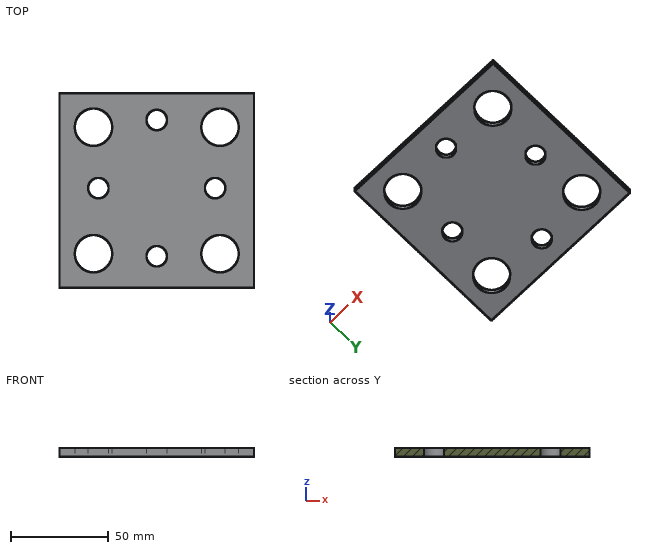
import cadquery as cq

plate_side = 100.0
plate_thickness = 4.6

corner_hole_diameter = 19.1
corner_hole_spacing = 65.0

small_hole_diameter = 10.4
small_hole_spacing_x = 60.0
small_hole_spacing_y = 70.0
cross_center_y = 1.2

plate = cq.Workplane("XY").box(plate_side, plate_side, plate_thickness)

corner_holes_plate = (
    plate.faces(">Z")
    .workplane(origin=(0, 0, 0))
    .rarray(corner_hole_spacing, corner_hole_spacing, 2, 2)
    .hole(corner_hole_diameter)
)

small_hole_centers = [
    (-small_hole_spacing_x / 2, 0),
    (small_hole_spacing_x / 2, 0),
    (0, -small_hole_spacing_y / 2),
    (0, small_hole_spacing_y / 2),
]

result = (
    corner_holes_plate.faces(">Z")
    .workplane(origin=(0, cross_center_y, 0))
    .pushPoints(small_hole_centers)
    .hole(small_hole_diameter)
)